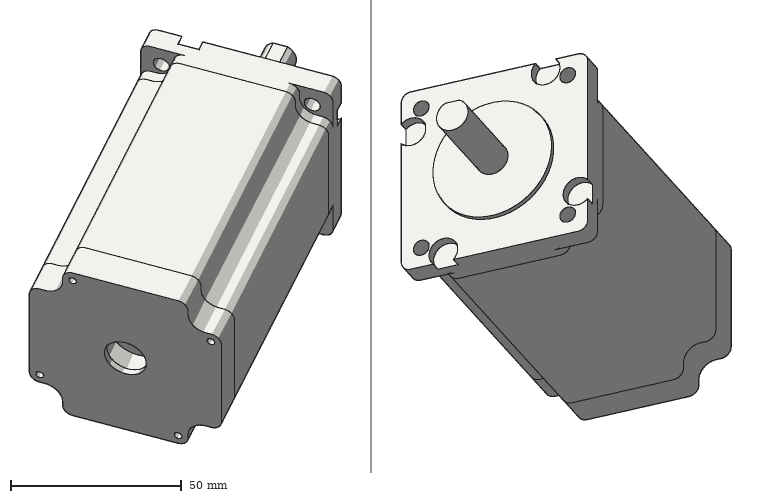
import cadquery as cq
import math

total_length = 131.5
body_width = 60.0
half_width = body_width / 2

rear_cap_front = 10.9
stator_front = 91.0
flange_rear = 94.5
flange_front = 101.6
pilot_front = 103.2

flange_corner_radius = 3.0
pilot_diameter = 38.1
mount_hole_diameter = 5.0
mount_hole_offset = 23.5

relief_wall = 10.4
relief_lip_radius = 3.3
relief_floor_radius = 5.5
relief_lip_start = relief_wall + relief_lip_radius
relief_floor_start = relief_wall - relief_floor_radius

quarter_turns = 4
screw_x = -16.5
screw_z = 26.7
screw_head_diameter = 9.2
screw_head_depth = 3.3
screw_hole_diameter = 2.4

bore_lip_diameter = 13.0
bore_lip_depth = 2.1
bearing_seat_diameter = 18.4

shaft_diameter = 10.1
shaft_flat_depth = 0.5
shaft_flat_length = 25.0


def plane_at(y):
    """Plane across the axis at y: local x is X, local y is Z, negative extrusion goes to +Y."""
    return cq.Workplane(cq.Plane(origin=(0, y, 0), xDir=(1, 0, 0), normal=(0, -1, 0)))


def disc(x, z, diameter, y_start, y_end):
    """Cylinder along Y between two places on the axis."""
    return plane_at(y_start).center(x, z).circle(diameter / 2).extrude(y_start - y_end)


def square_block(y_start, y_end):
    """Square prism as wide as the body, between two places on the axis."""
    return plane_at(y_start).rect(body_width, body_width).extrude(y_start - y_end)


def corner_relief(y_start, y_end):
    """Cutter for the corner at -X, +Z: a concave floor that rolls out over two convex lips."""
    diagonal = math.sqrt(0.5)
    lip_mid = relief_lip_radius * (1 - diagonal)
    floor_mid = relief_floor_start + relief_floor_radius * diagonal

    def at(from_side, from_top):
        return (from_side - half_width, half_width - from_top)

    profile = (
        plane_at(y_start)
        .moveTo(*at(0, 0))
        .lineTo(*at(relief_lip_start, 0))
        .threePointArc(at(relief_wall + lip_mid, lip_mid), at(relief_wall, relief_lip_radius))
        .lineTo(*at(relief_wall, relief_floor_start))
        .threePointArc(at(floor_mid, floor_mid), at(relief_floor_start, relief_wall))
        .lineTo(*at(relief_lip_radius, relief_wall))
        .threePointArc(at(lip_mid, relief_wall + lip_mid), at(0, relief_lip_start))
        .close()
    )
    return profile.extrude(y_start - y_end)


def cut_at_each_corner(solid, cutter):
    """Cut the same shape four times, turned about the axis by quarter turns."""
    for turn in range(quarter_turns):
        angle = turn * 360 / quarter_turns
        solid = solid.cut(cutter.rotate((0, 0, 0), (0, 1, 0), angle))
    return solid


def relieved_block(y_start, y_end):
    """Length of the square body with its four corner reliefs."""
    return cut_at_each_corner(square_block(y_start, y_end), corner_relief(y_start, y_end))


def make_front_end():
    """Mounting flange with its pilot, rear neck and output shaft."""
    flange = square_block(flange_rear, flange_front).edges("|Y").fillet(flange_corner_radius)
    flange = cut_at_each_corner(
        flange, disc(-mount_hole_offset, mount_hole_offset, mount_hole_diameter, flange_rear, flange_front)
    )
    head_floor = flange_front - screw_head_depth
    flange = cut_at_each_corner(
        flange, disc(screw_x, screw_z, screw_head_diameter, head_floor, flange_front)
    )
    neck = relieved_block(stator_front, flange_rear)
    pilot = disc(0, 0, pilot_diameter, flange_front, pilot_front)
    return flange.union(neck).union(pilot).union(make_shaft())


def make_shaft():
    """Round shaft with a flat on its +Z side, from the pilot to the tip."""
    shaft = disc(0, 0, shaft_diameter, pilot_front, total_length)
    flat_height = shaft_diameter / 2 - shaft_flat_depth
    flat_cutter = cq.Workplane("XY").box(
        shaft_diameter, shaft_flat_length, shaft_diameter, centered=(True, False, False)
    )
    return shaft.cut(flat_cutter.translate((0, total_length - shaft_flat_length, flat_height)))


def make_stator():
    """Plain middle length of the body."""
    return relieved_block(rear_cap_front, stator_front)


def make_rear_cap():
    """Rear cap with the stepped bore and the screw holes passing through it."""
    cap = relieved_block(0, rear_cap_front)
    cap = cap.cut(disc(0, 0, bore_lip_diameter, 0, bore_lip_depth))
    cap = cap.cut(disc(0, 0, bearing_seat_diameter, bore_lip_depth, rear_cap_front))
    return cut_at_each_corner(cap, disc(screw_x, screw_z, screw_hole_diameter, 0, rear_cap_front))


front_end = make_front_end()
stator = make_stator()
rear_cap = make_rear_cap()

result = cq.Compound.makeCompound([front_end.val(), stator.val(), rear_cap.val()])